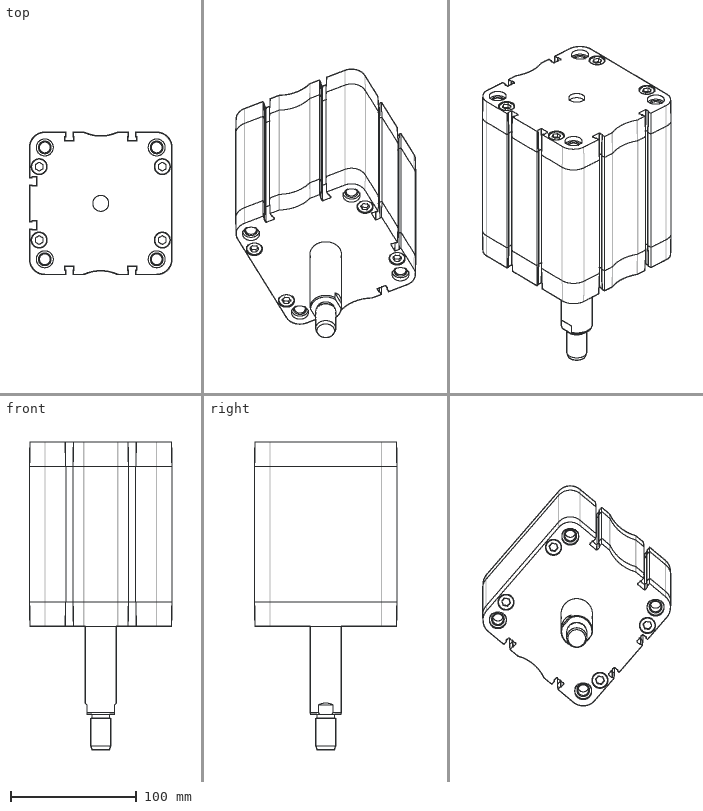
import cadquery as cq
import math

body_width = 113.5
body_length = 146.8
cap_length = 19.5
total_length = 245.0
half_width = body_width / 2
barrel_length = body_length - 2 * cap_length

fixing_spacing = 89.0
corner_radius = (body_width - fixing_spacing) / 2
cap_draft = 1.0
groove_half_width = 13.5
groove_depth = 3.0
groove_edge_radius = 1.0

slot_mouth_width = 5.7
slot_chamber_width = 6.9
front_slot_lip = 3.8
front_slot_depth = 6.7
side_slot_lip = 2.2
side_slot_depth = 5.6
front_slot_offset = 25.0
side_slot_offset = 17.5

fixing_counterbore_diameter = 13.5
fixing_counterbore_depth = 4.0
fixing_chamfer_diameter = 10.11
fixing_thread_diameter = 8.57
fixing_thread_depth = 15.0

screw_spacing_x = 98.0
screw_spacing_y = 58.4
screw_recess_diameter = 12.7
screw_head_diameter = 12.0
screw_head_inset = 0.5
screw_gap_depth = 1.5
hexagon_across_flats = 6.0
hexagon_depth = 3.0

centring_diameter = 12.7
centring_depth = 4.0

rod_diameter = 25.0
rod_projection = 70.0
rod_chamfer = 0.5
rod_chamfer_length = 1.5
flat_across = 22.0
flat_length = 9.0
stud_diameter = 16.0
neck_diameter = 14.0
neck_length = 2.9
neck_taper_length = 0.5
stud_chamfer_length = 3.0
stud_length = total_length - body_length - rod_projection


def cross_grid(spacing_x, spacing_y):
    """Four points placed symmetrically about both axes."""
    return [(sx * spacing_x / 2, sy * spacing_y / 2) for sx in (-1, 1) for sy in (-1, 1)]


def cut_slot(section, angle, offset, lip, depth):
    """Sensor slot in the side that faces the given angle, offset along that side."""
    turn = math.radians(angle)

    def place(inset):
        reach = half_width - inset
        x = reach * math.cos(turn) - offset * math.sin(turn)
        y = reach * math.sin(turn) + offset * math.cos(turn)
        return cq.Location(cq.Vector(x, y, 0), cq.Vector(0, 0, 1), angle)

    chamber_depth = depth - lip
    section = section.push([place(0)]).rect(2 * depth, slot_mouth_width, mode="s").reset()
    chamber = section.push([place(lip + chamber_depth / 2)])
    return chamber.rect(chamber_depth, slot_chamber_width, mode="s").reset()


def body_section():
    """Cross-section shared by the barrel and both caps."""
    arc_radius = (groove_half_width ** 2 + groove_depth ** 2) / (2 * groove_depth)
    arc_centre = half_width + arc_radius - groove_depth

    section = cq.Sketch().rect(body_width, body_width).vertices().fillet(corner_radius).reset()
    section = section.push([(0, -arc_centre), (0, arc_centre)]).circle(arc_radius, mode="s").reset()
    groove_edges = cq.selectors.BoxSelector(
        (-front_slot_offset, -body_width, -1), (front_slot_offset, body_width, 1))
    section = section.faces().vertices(groove_edges).fillet(groove_edge_radius).reset()
    for side in (-1, 1):
        section = cut_slot(section, 90, side * front_slot_offset, front_slot_lip, front_slot_depth)
        section = cut_slot(section, -90, side * front_slot_offset, front_slot_lip, front_slot_depth)
        section = cut_slot(section, 180, side * side_slot_offset, side_slot_lip, side_slot_depth)
    return section.clean()


def profile_body(length, draft=0):
    """Body section standing on Z = 0; a draft angle narrows it upwards."""
    return cq.Workplane("XY").placeSketch(body_section()).extrude(length, taper=draft)


def cut_corner_fixings(body):
    """Threaded corner holes with a counterbore and a chamfered thread start."""
    face = cq.Workplane("XY", origin=(0, 0, cap_length))
    corners = cross_grid(fixing_spacing, fixing_spacing)
    recesses = face.pushPoints(corners)
    seats = face.workplane(offset=-fixing_counterbore_depth).pushPoints(corners)
    chamfer_depth = (fixing_chamfer_diameter - fixing_thread_diameter) / 2

    body = body.cut(recesses.circle(fixing_counterbore_diameter / 2).extrude(-fixing_counterbore_depth))
    body = body.cut(seats.circle(fixing_thread_diameter / 2).extrude(-fixing_thread_depth))
    return body.cut(seats.circle(fixing_chamfer_diameter / 2).extrude(-chamfer_depth, taper=45))


def cut_screw_heads(body):
    """Sunk screw heads, each with a ring gap around it and a hexagon socket."""
    face = cq.Workplane("XY", origin=(0, 0, cap_length))
    places = cross_grid(screw_spacing_x, screw_spacing_y)
    screws = face.pushPoints(places)
    body = body.cut(screws.circle(screw_recess_diameter / 2).extrude(-screw_head_inset))
    ring = screws.circle(screw_recess_diameter / 2).circle(screw_head_diameter / 2)
    body = body.cut(ring.extrude(-screw_gap_depth))

    corner_angle = 30
    corner_diameter = hexagon_across_flats / math.cos(math.radians(corner_angle))
    socket = cq.Workplane("XY").polygon(6, corner_diameter).extrude(hexagon_depth)
    socket = socket.rotate((0, 0, 0), (0, 0, 1), corner_angle)
    socket_floor = cap_length - screw_head_inset - hexagon_depth
    for x, y in places:
        body = body.cut(socket.translate((x, y, socket_floor)))
    return body


def cap():
    """Cap with its outer face at the top, Z = cap_length."""
    return cut_screw_heads(cut_corner_fixings(profile_body(cap_length, cap_draft)))


def rear_end_cap():
    centring_hole = cq.Workplane("XY", origin=(0, 0, body_length)).circle(centring_diameter / 2)
    body = cap().translate((0, 0, body_length - cap_length))
    return body.cut(centring_hole.extrude(-centring_depth))


def front_end_cap():
    """Cap turned over to face -Z, with a through bore for the rod."""
    rod_bore = cq.Workplane("XY").circle(rod_diameter / 2).extrude(cap_length)
    return cap().mirror("XY").translate((0, 0, cap_length)).cut(rod_bore)


def piston_rod():
    """Rod from the inner face of the front cap to the tip of its threaded stud."""
    shaft = rod_diameter / 2
    end = -rod_projection
    tip = end - stud_length
    neck = neck_diameter / 2
    stud = stud_diameter / 2
    rod = (cq.Workplane("XZ")
           .moveTo(0, cap_length)
           .lineTo(shaft, cap_length)
           .lineTo(shaft, end + rod_chamfer_length)
           .lineTo(shaft - rod_chamfer, end)
           .lineTo(neck, end)
           .lineTo(neck, end - neck_length)
           .lineTo(stud, end - neck_length - neck_taper_length)
           .lineTo(stud, tip + stud_chamfer_length)
           .lineTo(neck, tip)
           .lineTo(0, tip)
           .close()
           .revolve(360, (0, 0, 0), (0, 1, 0)))
    cut_depth = (rod_diameter - flat_across) / 2
    flat_start = end + flat_length
    for side in (-1, 1):
        flat = (cq.Workplane("XZ", origin=(0, shaft, 0))
                .moveTo(side * (shaft - cut_depth), end)
                .lineTo(side * (shaft - cut_depth), flat_start - cut_depth)
                .lineTo(side * shaft, flat_start)
                .lineTo(side * shaft, end)
                .close().extrude(rod_diameter))
        rod = rod.cut(flat)
    return rod


barrel = profile_body(barrel_length).translate((0, 0, cap_length))
rear_cap = rear_end_cap()
front_cap = front_end_cap()
rod = piston_rod()

result = cq.Compound.makeCompound([barrel.val(), rear_cap.val(), front_cap.val(), rod.val()])